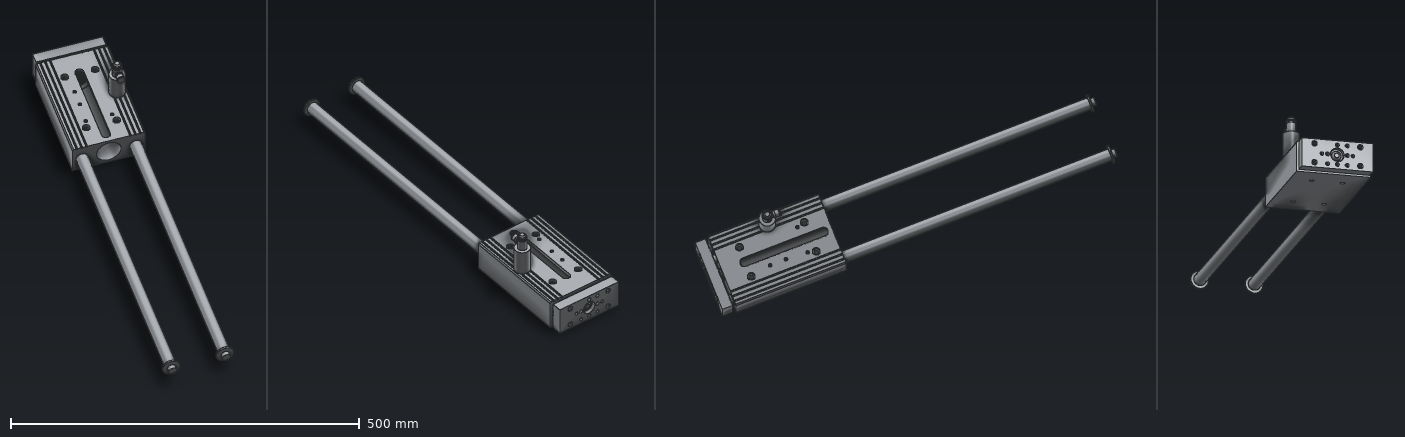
import cadquery as cq


total_length = 611.5
total_height = 109.16

housing_length = 170
housing_width = 110
housing_height = 46
housing_front = 20.5
housing_rear = housing_front + housing_length
axis_z = housing_height / 2
edge_chamfer = 2

rod_diameter = 18
rod_offset_y = 40.5
piston_rod_diameter = 18.5
piston_bore_diameter = 37
relief_diameter = 38
relief_start = 45
relief_end = 53

groove_center_y = rod_offset_y
groove_pitch = 7.4
groove_width = 2
groove_depth = 1.5
slot_start = 48.5
slot_end = 183.5
slot_width = 13
mount_x = (56.5, 156.5)
mount_y = 23
mount_diameter = 6.6
mount_head_diameter = 11
mount_head_depth = 6.5
port_diameter = 4.13
port_mouth_diameter = 5.1
port_depth = 10
port_places = [(144.5, 20), (144.5, -20), (87.5, -18), (112, -18)]

fitting_x = 106
fitting_y = 40
post_diameter = 24
post_top = 85
stem_diameter = 14
stem_top = 100.5
neck_diameter = 12.5
collar_bottom = 102.8
collar_top = 104.2
cap_diameter = 11
cap_chamfer = 2
outlet_z = 93
outlet_neck_diameter = 8
outlet_diameter = 11
outlet_start = 114.5
outlet_end = 125.5
outlet_waist_start = 117.5
outlet_waist_end = 123.5
outlet_waist_diameter = 10.5
screw_hole_diameter = 4.5
screw_hole_depth = 3

plate_thickness = 16
plate_width = 106
plate_height = 43
face_hole_depth = 8
face_hole_diameter = 5.5
face_pitch = 14.7
pin_hole_diameter = 4.92
pin_hole_y = 23
corner_y = 34
corner_z = 14.2
corner_mouth_diameter = 8
corner_hole_diameter = 5.02
recess_diameter = 20
recess_depth = 6.5
nose_diameter = 14
nose_tip_diameter = 7
nose_height = 3

shoulder_diameter = 20
shoulder_thickness = 2
stop_diameter = 12
stop_y = 21.7
stop_z = axis_z + 12.4

washer_diameter = 26.5
washer_start = 602.5
washer_thickness = 2.5
head_diameter = 12


def bar_x(diameter, start, end, y=0, z=axis_z):
    """Round bar parallel to X between two stations."""
    return cq.Workplane("YZ", origin=(start, y, z)).circle(diameter / 2).extrude(end - start)


def bar_z(diameter, bottom, top, x, y):
    """Round upright bar between two heights."""
    return cq.Workplane("XY", origin=(x, y, bottom)).circle(diameter / 2).extrude(top - bottom)


def countersink(mouth_diameter, hole_diameter, mouth, direction):
    """45 degree cone narrowing from a hole's mouth to the hole."""
    depth = (mouth_diameter - hole_diameter) / 2
    cone = cq.Solid.makeCone(
        mouth_diameter / 2, hole_diameter / 2, depth, cq.Vector(*mouth), cq.Vector(*direction)
    )
    return cq.Workplane(cone)


def fitting():
    """Post with a stepped adjusting stem and a side outlet pointing to +X."""
    body = bar_z(post_diameter, axis_z, post_top, fitting_x, fitting_y)
    body = body.union(bar_z(stem_diameter, post_top, stem_top, fitting_x, fitting_y))
    body = body.union(bar_z(neck_diameter, stem_top, collar_bottom, fitting_x, fitting_y))
    body = body.union(bar_z(stem_diameter, collar_bottom, collar_top, fitting_x, fitting_y))
    cap = bar_z(cap_diameter, collar_top, total_height, fitting_x, fitting_y)
    body = body.union(cap.faces(">Z").chamfer(cap_chamfer))

    outlet = bar_x(outlet_neck_diameter, fitting_x, outlet_start, fitting_y, outlet_z)
    outlet = outlet.union(bar_x(outlet_diameter, outlet_start, outlet_waist_start, fitting_y, outlet_z))
    outlet = outlet.union(
        bar_x(outlet_waist_diameter, outlet_waist_start, outlet_waist_end, fitting_y, outlet_z)
    )
    outlet = outlet.union(bar_x(outlet_diameter, outlet_waist_end, outlet_end, fitting_y, outlet_z))
    body = body.union(outlet)

    screw_hole = (
        cq.Workplane("XZ", origin=(fitting_x, fitting_y - stem_diameter / 2, outlet_z))
        .circle(screw_hole_diameter / 2)
        .extrude(-screw_hole_depth)
    )
    return body.cut(screw_hole)


def housing_block():
    """Block with grooves, slot, mounting holes and small ports in its top face."""
    block = (
        cq.Workplane("XY")
        .box(housing_length, housing_width, housing_height, centered=(False, True, False))
        .translate((housing_front, 0, 0))
    )
    block = block.edges("|X and >Z").chamfer(edge_chamfer)

    for side in (-1, 1):
        for step in (-1, 0, 1):
            groove_y = side * groove_center_y + step * groove_pitch
            groove = cq.Workplane("XY").box(
                housing_length, groove_width, groove_depth, centered=(False, True, False)
            )
            block = block.cut(groove.translate((housing_front, groove_y, housing_height - groove_depth)))

    slot = (
        cq.Workplane("XY", origin=((slot_start + slot_end) / 2, 0, axis_z))
        .slot2D(slot_end - slot_start, slot_width)
        .extrude(housing_height - axis_z)
    )
    block = block.cut(slot)

    for x in mount_x:
        for y in (-mount_y, mount_y):
            block = block.cut(bar_z(mount_diameter, 0, housing_height, x, y))
            head_floor = housing_height - mount_head_depth
            block = block.cut(bar_z(mount_head_diameter, head_floor, housing_height, x, y))
    for x, y in port_places:
        mouth = (x, y, housing_height)
        block = block.cut(bar_z(port_diameter, housing_height - port_depth, housing_height, x, y))
        block = block.cut(countersink(port_mouth_diameter, port_diameter, mouth, (0, 0, -1)))
    return block


def make_housing():
    """Housing and fitting in one, bored for the guide rods and the piston."""
    body = housing_block().union(fitting())
    for side in (-1, 1):
        body = body.cut(bar_x(rod_diameter, housing_front, housing_rear, side * rod_offset_y))
    body = body.cut(bar_x(piston_rod_diameter, housing_front, relief_start))
    body = body.cut(bar_x(relief_diameter, relief_start, relief_end))
    return body.cut(bar_x(piston_bore_diameter, relief_end, housing_rear))


def front_plate():
    """Plate with its fixing holes, and a recess around the nose of the piston rod."""
    plate = (
        cq.Workplane("XY")
        .box(plate_thickness, plate_width, plate_height, centered=(False, True, True))
        .translate((0, 0, axis_z))
    )
    face_holes = [(y, -face_pitch) for y in (-face_pitch, 0, face_pitch)]
    face_holes += [(y, face_pitch) for y in (-face_pitch, 0)]
    face_holes += [(y, 0) for y in (-face_pitch, face_pitch)]
    for y, z in face_holes:
        plate = plate.cut(bar_x(face_hole_diameter, 0, face_hole_depth, y, axis_z + z))
    for y in (-pin_hole_y, pin_hole_y):
        plate = plate.cut(bar_x(pin_hole_diameter, 0, face_hole_depth, y))
    for y in (-corner_y, corner_y):
        for z in (axis_z - corner_z, axis_z + corner_z):
            plate = plate.cut(bar_x(corner_hole_diameter, 0, face_hole_depth, y, z))
            plate = plate.cut(countersink(corner_mouth_diameter, corner_hole_diameter, (0, y, z), (1, 0, 0)))

    plate = plate.cut(bar_x(recess_diameter, 0, recess_depth))
    nose = cq.Solid.makeCone(
        nose_diameter / 2,
        nose_tip_diameter / 2,
        nose_height,
        cq.Vector(recess_depth, 0, axis_z),
        cq.Vector(-1, 0, 0),
    )
    return plate.union(cq.Workplane(nose))


def guide_rod(y):
    """Long rod with a stop washer and a screw head at its free end."""
    rod = bar_x(rod_diameter, plate_thickness, washer_start, y)
    washer_end = washer_start + washer_thickness
    rod = rod.union(bar_x(washer_diameter, washer_start, washer_end, y))
    return rod.union(bar_x(head_diameter, washer_end, total_length, y))


def make_yoke():
    """Front plate with the piston rod, stop and both guide rods."""
    body = front_plate()
    body = body.union(bar_x(piston_rod_diameter, plate_thickness, relief_start))
    body = body.union(bar_x(shoulder_diameter, plate_thickness, plate_thickness + shoulder_thickness))
    body = body.union(bar_x(stop_diameter, plate_thickness, housing_front, stop_y, stop_z))
    for side in (-1, 1):
        body = body.union(guide_rod(side * rod_offset_y))
    return body


housing = make_housing()
yoke = make_yoke()
result = cq.Compound.makeCompound([housing.val(), yoke.val()])